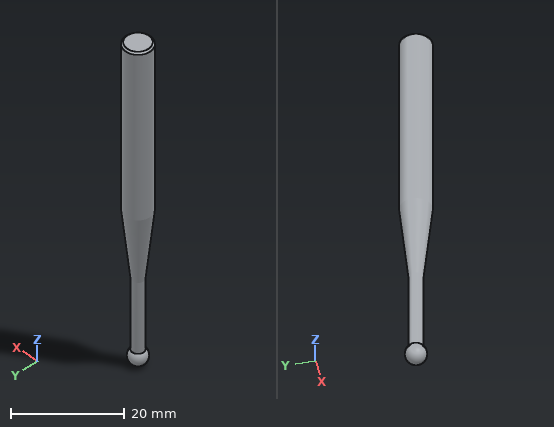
import cadquery as cq
import math

overall_length = 75.0
shank_diameter = 6.0
neck_diameter = 2.7
ball_diameter = 4.0
neck_top = 20.0
taper_top = 36.0
end_chamfer = 0.4

shank_radius = shank_diameter / 2
neck_radius = neck_diameter / 2
ball_radius = ball_diameter / 2

ball_top = ball_radius + math.sqrt(ball_radius**2 - neck_radius**2)


def ball_end_pin():
    """Revolve the half outline of shank, taper, neck and ball about Z."""
    half_outline = (
        cq.Workplane("XZ")
        .moveTo(0, 0)
        .threePointArc((ball_radius, ball_radius), (neck_radius, ball_top))
        .lineTo(neck_radius, neck_top)
        .lineTo(shank_radius, taper_top)
        .lineTo(shank_radius, overall_length - end_chamfer)
        .lineTo(shank_radius - end_chamfer, overall_length)
        .lineTo(0, overall_length)
        .close()
    )
    return half_outline.revolve(360, (0, 0, 0), (0, 1, 0))


result = ball_end_pin()